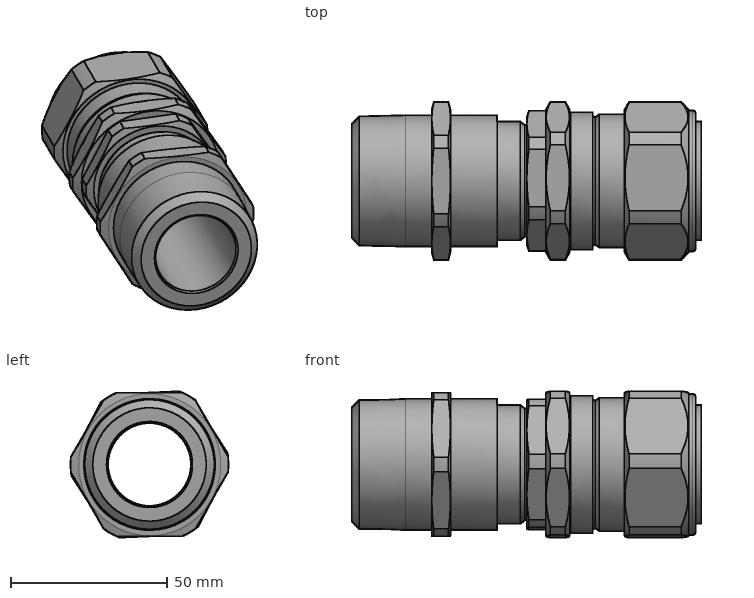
import cadquery as cq
import math

length = 111.9

bore_radius = 13.2
bore_chamfer = 0.6

nose_radius = 18.1
nose_end = 2.5
taper_start_radius = 20.7
taper_end = 17.2
sleeve_radius = 21.0
sleeve_end = 46.5

neck_radius = 19
neck_tip_radius = 17.9
neck_chamfer_start = 53.9
neck_chamfer_end = 55.4

flange_radius = 22.0
flange_chamfer_length = 0.3
flange_chamfer_depth = 0.2
flange_end = 77.2
groove_edge_radius = 20.8
groove_bottom_radius = 20.4
groove_bottom = 77.9
barrel_radius = 21.4
barrel_start = 79.2

large_flats = 46.0
large_corner_radius = 25.3
small_flats = 41.1
small_corner_radius = 22.5
body_twist = -2.5

locknut_start = 25.6
locknut_end = 31.7
small_hex_start = 56
body_hex_start = 62.1
small_hex_end = body_hex_start
body_hex_end = 69.8
cap_nut_start = 87.3
cap_nut_end = 107.9

locknut_chamfer = 0.7
small_hex_chamfer = 0.8
body_hex_chamfer = 1.5
cap_nut_rear_chamfer = 2.5

large_face_radius = 22.7
small_face_radius = 20.1

rim_radius = 22.6
rim_end = 110.1
rim_fillet = 1.1
tube_end_radius = 19


def revolve_about_x(profile):
    """Turn a list of (x, radius) points into a solid of revolution about X."""
    first_x = profile[0][0]
    last_x = profile[-1][0]
    outline = [(first_x, 0)] + profile + [(last_x, 0)]
    return cq.Workplane("XY").polyline(outline).close().revolve(360, (0, 0, 0), (1, 0, 0))


def chamfered_hex(start, end, flats, corner_radius, face_radius, front_chamfer, rear_chamfer, twist=0):
    """Hexagon along X with rounded corners on +Y and -Y and conical end chamfers.

    A chamfer length of 0 leaves that end square.
    """
    sharp_diameter = flats / math.cos(math.radians(30))
    prism = (
        cq.Workplane("YZ", origin=(start, 0, 0))
        .polygon(6, sharp_diameter)
        .extrude(end - start)
        .rotate((0, 0, 0), (1, 0, 0), twist)
    )
    envelope_profile = [
        (start + front_chamfer, corner_radius),
        (end - rear_chamfer, corner_radius),
    ]
    if front_chamfer > 0:
        envelope_profile.insert(0, (start, face_radius))
    if rear_chamfer > 0:
        envelope_profile.append((end, face_radius))
    return prism.intersect(revolve_about_x(envelope_profile))


turned_body = revolve_about_x([
    (0, nose_radius),
    (nose_end, taper_start_radius),
    (taper_end, sleeve_radius),
    (sleeve_end, sleeve_radius),
    (sleeve_end, neck_radius),
    (neck_chamfer_start, neck_radius),
    (neck_chamfer_end, neck_tip_radius),
    (body_hex_end, neck_tip_radius),
    (body_hex_end, flange_radius - flange_chamfer_depth),
    (body_hex_end + flange_chamfer_length, flange_radius),
    (flange_end, flange_radius),
    (flange_end, groove_edge_radius),
    (groove_bottom, groove_bottom_radius),
    (barrel_start, barrel_radius),
    (cap_nut_end, barrel_radius),
    (cap_nut_end, tube_end_radius),
    (length, tube_end_radius),
])

locknut = chamfered_hex(
    locknut_start, locknut_end, large_flats, large_corner_radius, large_face_radius,
    locknut_chamfer, locknut_chamfer,
)
small_hex = chamfered_hex(
    small_hex_start, small_hex_end, small_flats, small_corner_radius, small_face_radius,
    small_hex_chamfer, 0, body_twist,
)
body_hex = chamfered_hex(
    body_hex_start, body_hex_end, large_flats, large_corner_radius, large_face_radius,
    body_hex_chamfer, body_hex_chamfer, body_twist,
)
cap_nut = chamfered_hex(
    cap_nut_start, cap_nut_end, large_flats, large_corner_radius, large_face_radius,
    body_hex_chamfer, cap_nut_rear_chamfer, body_twist,
)

rim = (
    cq.Workplane("YZ", origin=(cap_nut_end, 0, 0))
    .circle(rim_radius)
    .extrude(rim_end - cap_nut_end)
    .faces(">X")
    .edges()
    .fillet(rim_fillet)
)

bore = revolve_about_x([
    (0, bore_radius + bore_chamfer),
    (bore_chamfer, bore_radius),
    (length, bore_radius),
])

result = turned_body
for ring in (locknut, small_hex, body_hex, cap_nut, rim):
    result = result.union(ring)
result = result.cut(bore)